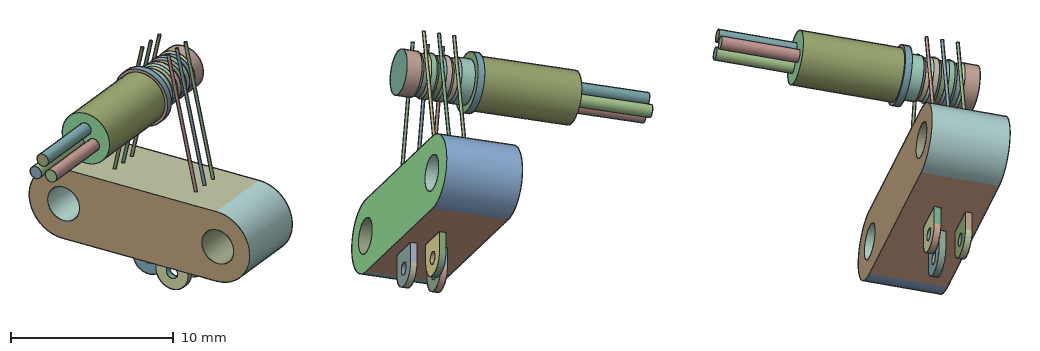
import cadquery as cq
import math


neck_radius = 1.45
collar_radius = 1.9
barrel_radius = 1.7
neck_end = 4.5
collar_end = 4.94
barrel_end = 11.41
cable_end = 16.4

cable_count = 3
cable_radius = 0.41
cable_circle_radius = 0.64
cable_start_angle = 93.0

contact_count = 3
first_contact = 1.3
pitch = 1.0
contact_depths = [first_contact + i * pitch for i in range(contact_count)]

groove_depth = 0.1
groove_width = 0.64
groove_floor_width = 0.31

block_length = 15.9
block_height = 4.79
block_depth = 5.0
block_center_x = -0.1
block_top_z = -6.36
block_center_z = block_top_z - block_height / 2
block_bottom_z = block_top_z - block_height
mount_hole_diameter = 2.3
mount_hole_spacing = block_length - block_height

wire_radius = 0.1
wire_lean = 12.7
wire_axis_distance = 1.46
wire_top_z = 2.51
wire_embed = 0.16

tab_width = 2.3
tab_thickness = 0.43
tab_center_z = -12.46
tab_hole_diameter = 0.8
tab_depths = [pitch * (i + 1) for i in range(contact_count)]
tab_sides = [1, -1, 1]


def rod_along_y(radius, start, end, x=0.0, z=0.0):
    """Cylinder between two distances forward of the back face."""
    return cq.Workplane("XZ", origin=(0, -start, 0)).center(x, z).circle(radius).extrude(end - start)


def make_groove_ring(depth):
    """Ring that cuts one groove centred at a distance forward of the back face."""
    outline = [
        (neck_radius, -depth - groove_width / 2),
        (neck_radius - groove_depth, -depth - groove_floor_width / 2),
        (neck_radius - groove_depth, -depth + groove_floor_width / 2),
        (neck_radius, -depth + groove_width / 2),
    ]
    return cq.Workplane("XY").polyline(outline).close().revolve(360, (0, 0, 0), (0, 1, 0))


def make_rotor():
    """Grooved neck, collar, barrel and cables."""
    rotor = rod_along_y(neck_radius, 0, neck_end)
    rotor = rotor.union(rod_along_y(collar_radius, neck_end, collar_end))
    rotor = rotor.union(rod_along_y(barrel_radius, collar_end, barrel_end))
    for depth in contact_depths:
        rotor = rotor.cut(make_groove_ring(depth))
    for i in range(cable_count):
        angle = math.radians(cable_start_angle + i * 360 / cable_count)
        x = cable_circle_radius * math.cos(angle)
        z = cable_circle_radius * math.sin(angle)
        rotor = rotor.union(rod_along_y(cable_radius, barrel_end, cable_end, x, z))
    return rotor


def make_wire(side, depth):
    """Leaning wire on one side (-1 or 1) of the rotor, rooted inside the block."""
    lean = math.radians(wire_lean)

    def wire_x(z):
        return side * (wire_axis_distance / math.cos(lean) - z * math.tan(lean))

    root_z = block_top_z - wire_embed
    root = cq.Vector(wire_x(root_z), -depth, root_z)
    tip = cq.Vector(wire_x(wire_top_z), -depth, wire_top_z)
    axis = tip - root
    return cq.Workplane(cq.Solid.makeCylinder(wire_radius, axis.Length, root, axis))


def make_tab(side, depth):
    """Round-ended solder tab with a hole, on one side of the centre line."""
    straight_height = block_bottom_z - tab_center_z
    plane = cq.Workplane("XZ", origin=(side * tab_width / 2, -depth + tab_thickness / 2, tab_center_z))
    tab = plane.circle(tab_width / 2).extrude(tab_thickness)
    shank = plane.center(0, straight_height / 2).rect(tab_width, straight_height).extrude(tab_thickness)
    hole = plane.circle(tab_hole_diameter / 2).extrude(tab_thickness)
    return tab.union(shank).cut(hole)


def make_brush_block():
    """Round-ended block with mounting holes, wires above and tabs below."""
    block = (
        cq.Workplane("XZ", origin=(block_center_x, 0, block_center_z))
        .slot2D(block_length, block_height)
        .extrude(block_depth)
    )
    for side in (-1, 1):
        hole_x = side * mount_hole_spacing / 2
        block = block.cut(rod_along_y(mount_hole_diameter / 2, 0, block_depth, hole_x, block_center_z))
        for depth in contact_depths:
            block = block.union(make_wire(side, depth))
    for side, depth in zip(tab_sides, tab_depths):
        block = block.union(make_tab(side, depth))
    return block


rotor = make_rotor()
brush_block = make_brush_block()
result = cq.Compound.makeCompound([*rotor.solids().vals(), *brush_block.solids().vals()])